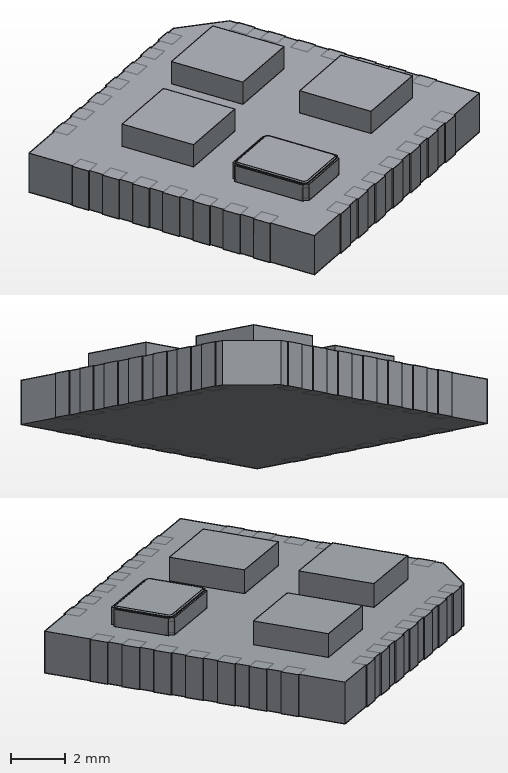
import cadquery as cq

overall_width = 12.1
overall_height = 2.58

contact_projection = 0.05
board_width = overall_width - 2 * contact_projection
board_thickness = 1.65
board_corner_cut = 1.5

contacts_per_side = 7
contact_pitch = 1.27
contact_width = 0.7
contact_depth = 0.6

chip_width = 3.0
chip_height = overall_height - board_thickness
chip_centres = [(-2.54, 2.47), (2.57, 2.96), (-1.82, -2.37)]

crystal_centre = (2.95, -2.8)
crystal_length = 3.2
crystal_width = 2.5
crystal_base_height = 0.68
castellation_radius = 0.16
plating_height = 0.53
plating_margin = 0.05
foot_height = 0.1
foot_length = 0.24

lid_height = 0.08
lid_ledge = 0.07
lid_corner_radius = 0.19
lid_edge_chamfer = 0.05


def make_board():
    """Cut-corner board with full-height contacts along its four sides, flush at top and bottom."""
    board = (
        cq.Workplane("XY")
        .rect(board_width, board_width)
        .extrude(board_thickness)
        .edges("|Z and <X and >Y")
        .chamfer(board_corner_cut)
    )
    contacts = []
    first_offset = -contact_pitch * (contacts_per_side - 1) / 2
    contact_x = (overall_width - contact_depth) / 2
    for side in range(4):
        for index in range(contacts_per_side):
            contact = (
                cq.Workplane("XY")
                .center(contact_x, first_offset + index * contact_pitch)
                .rect(contact_depth, contact_width)
                .extrude(board_thickness)
                .rotate((0, 0, 0), (0, 0, 1), side * 90)
            )
            contacts.append(contact.val())

    all_contacts = cq.Workplane(cq.Compound.makeCompound(contacts))
    return board.cut(all_contacts).union(all_contacts, clean=False).solids()


def make_chip(centre):
    """Plain square block standing on the board."""
    return (
        cq.Workplane("XY", origin=(*centre, board_thickness))
        .rect(chip_width, chip_width)
        .extrude(chip_height)
    )


def crystal_plane(height):
    """Workplane centred on the crystal, at a height above the board."""
    return cq.Workplane("XY", origin=(*crystal_centre, board_thickness + height))


def make_crystal_base():
    """Ceramic block with notched corners; flush plating and feet are outlined on its faces."""
    block = crystal_plane(0).rect(crystal_length, crystal_width).extrude(crystal_base_height)
    corners = crystal_plane(0).rect(crystal_length, crystal_width, forConstruction=True).vertices()
    notches = corners.circle(castellation_radius).extrude(crystal_base_height)
    ceramic = block.cut(notches)

    feet = corners.rect(2 * foot_length, 2 * foot_length).extrude(foot_height).intersect(ceramic)
    plating = corners.circle(castellation_radius + plating_margin).extrude(plating_height)
    plating = plating.intersect(ceramic).cut(feet)
    base = ceramic.cut(feet).cut(plating).union(plating, clean=False).union(feet, clean=False)
    return base.solids()


def make_crystal_lid():
    """Thin round-cornered lid with a chamfered top edge, set in from the base sides."""
    return (
        crystal_plane(crystal_base_height)
        .rect(crystal_length - 2 * lid_ledge, crystal_width - 2 * lid_ledge)
        .extrude(lid_height)
        .edges("|Z")
        .fillet(lid_corner_radius)
        .faces(">Z")
        .edges()
        .chamfer(lid_edge_chamfer)
    )


board = make_board()
chips = [make_chip(centre) for centre in chip_centres]
crystal_base = make_crystal_base()
crystal_lid = make_crystal_lid()

result = cq.Compound.makeCompound(
    [board.val(), *[chip.val() for chip in chips], crystal_base.val(), crystal_lid.val()]
)